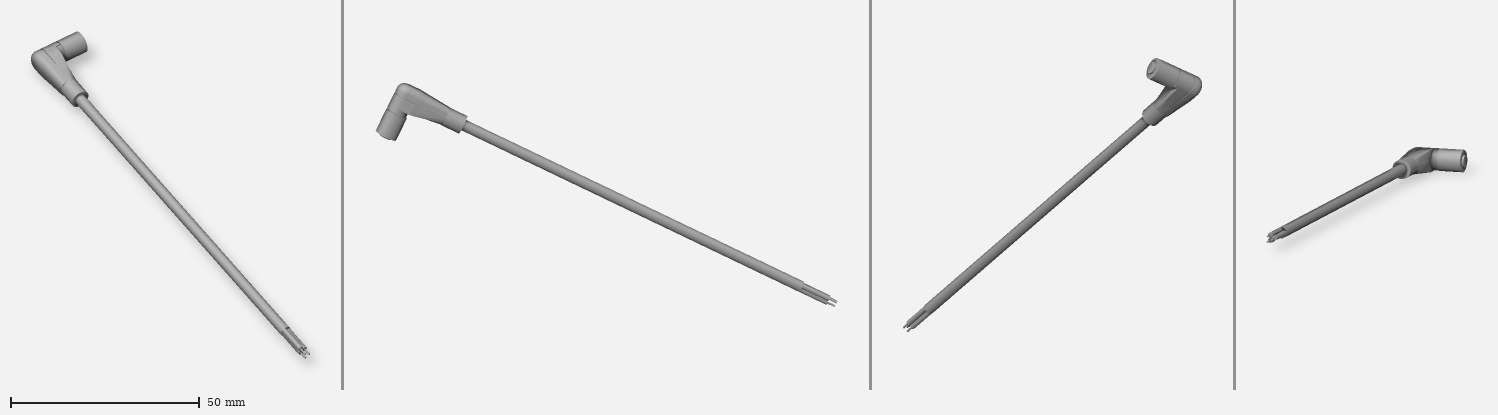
import cadquery as cq
import math

DIAGONAL = math.sqrt(0.5)


head_radius = 3.0
head_bottom = -3.4
head_top = 4.6
edge_radius = 2.0

neck_radius = 2.7
nut_bottom = 5.0
nut_top = 11.6
insert_radius = 1.65
insert_top = 12.1

grip_half_width = -head_bottom
taper_start = 3.0
collar_start = 12.0
collar_end = 17.2
collar_radius = 2.6
grip_end_half_size = 2.5
shoulder_level = head_bottom + edge_radius

groove_width = 0.4
groove_depth = 0.2
groove_end = 7.5

cable_radius = 1.5
cable_end = 117.0
wire_count = 3
wire_radius = 0.69
wire_circle_radius = 0.81
wire_end = 125.0
conductor_radius = 0.27
conductor_end = 127.25


def rod_along_x(radius, start, end, y=0.0, z=0.0):
    """Round bar parallel to the X axis."""
    return cq.Workplane("YZ", origin=(start, y, z)).circle(radius).extrude(end - start)


def rod_along_y(radius, start, end):
    """Round bar on the Y axis."""
    return cq.Workplane("XZ", origin=(0, start, 0)).circle(radius).extrude(start - end)


def make_head():
    """Half-round housing behind the nut axis, rounded at its closed end."""
    head = rod_along_y(head_radius, head_bottom, head_top).faces("<Y").edges().fillet(edge_radius)
    height = head_top - head_bottom
    back_half = cq.Workplane("XY").box(head_radius, height, 2 * head_radius)
    back_half = back_half.translate((-head_radius / 2, head_bottom + height / 2, 0))
    return head.intersect(back_half)


def draw_lower_corner(outline, half_width, half_height):
    """Start a grip outline in (y, z): half of the flat -Y face, its rounded corner and the side to y = 0.

    The corner is an arc that always ends at the shoulder level.
    """
    flat = half_height - edge_radius
    middle_y = shoulder_level - DIAGONAL * (half_width + shoulder_level)
    middle_z = flat + DIAGONAL * edge_radius
    outline = outline.moveTo(-half_width, 0).lineTo(-half_width, flat)
    outline = outline.threePointArc((middle_y, middle_z), (shoulder_level, half_height))
    return outline.lineTo(0, half_height)


def draw_root_section(plane):
    """Half outline where the grip meets the head: the +Y side is square."""
    outline = draw_lower_corner(plane, grip_half_width, head_radius)
    return outline.lineTo(grip_half_width, head_radius).lineTo(grip_half_width, 0).close()


def draw_tip_section(plane):
    """Half outline at the collar: the +Y side is a half circle, split at its diagonal."""
    size = grip_end_half_size
    arc_middle_angle = math.pi / 8
    outline = draw_lower_corner(plane, size, size)
    near_side = (size * math.sin(arc_middle_angle), size * math.cos(arc_middle_angle))
    near_top = (size * math.cos(arc_middle_angle), size * math.sin(arc_middle_angle))
    outline = outline.threePointArc(near_side, (DIAGONAL * size, DIAGONAL * size))
    return outline.threePointArc(near_top, (size, 0)).close()


def make_grip():
    """Straight block followed by a taper that blends to a round top at the collar."""
    block = draw_root_section(cq.Workplane("YZ")).extrude(taper_start)
    taper = draw_root_section(cq.Workplane("YZ", origin=(taper_start, 0, 0)))
    taper = draw_tip_section(taper.workplane(offset=collar_start - taper_start)).loft(ruled=True)
    upper_half = block.union(taper)
    return upper_half.union(upper_half.mirror("XY")).clean()


def make_groove():
    """Cutter for the narrow groove round the back of the head and along both grip faces."""
    floor_radius = head_radius - groove_depth
    outer_radius = head_radius + groove_depth
    outer = cq.Workplane("XZ").slot2D(2 * (groove_end + outer_radius), 2 * outer_radius)
    inner = cq.Workplane("XZ").slot2D(2 * (groove_end + floor_radius), 2 * floor_radius)
    shift = (groove_end, groove_width / 2, 0)
    ring = outer.extrude(groove_width).cut(inner.extrude(groove_width)).translate(shift)
    keep = cq.Workplane("XY").box(2 * groove_end, 2 * groove_width, 4 * outer_radius)
    return ring.intersect(keep)


def add_wires(body):
    """Join insulated wires with stripped ends, evenly spaced round the cable axis."""
    for index in range(wire_count):
        angle = 2 * math.pi * index / wire_count
        y = wire_circle_radius * math.cos(angle)
        z = wire_circle_radius * math.sin(angle)
        body = body.union(rod_along_x(wire_radius, cable_end, wire_end, y, z))
        body = body.union(rod_along_x(conductor_radius, wire_end, conductor_end, y, z))
    return body


result = make_head().union(make_grip())
result = result.cut(make_groove())
result = result.union(rod_along_y(neck_radius, 0, nut_bottom))
result = result.union(rod_along_y(head_radius, nut_bottom, nut_top))
result = result.union(rod_along_y(insert_radius, nut_top, insert_top))
result = result.union(rod_along_x(collar_radius, collar_start, collar_end))
result = result.union(rod_along_x(cable_radius, collar_end, cable_end))
result = add_wires(result)